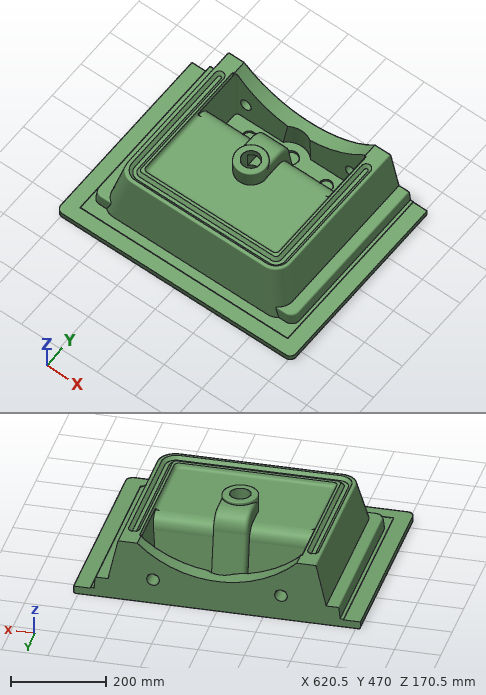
import cadquery as cq
import math


plate_width = 620.5
plate_length = 470.0
plate_thickness = 17.5
plate_corner_radius = 15.5
plate_under_fillet = 5.0
pad_half_width = 273.5
pad_length = 435.0
pad_height = 2.0
pad_top = plate_thickness + pad_height

ledge_half_width = 266.0
ledge_length = 404.5
ledge_top = 46.0
ledge_corner_radius = 20.5
ledge_draft = 6
ledge_edge_fillet = 4.0

rim_height = 141.0
rim_half_width = 214.0
rim_length = 385
wall_draft = 13
body_corner_radius = 40.5
rim_edge_fillet = 4.0

groove_half_width = 12.0
groove_depth = 7.5
groove_draft = 45
groove_inset = 20.5
groove_back = -58.5
groove_corner_radius = body_corner_radius - groove_inset

floor_height = 131.5
floor_half_width = 170.5
floor_front = -340.0
floor_back = -40.5
floor_draft = 30
floor_corner_radius = 12.5
floor_fillet = 9.0
deck_height = 15.0
deck_half_width = 160.0
deck_draft = 6
deck_front = -115.0
deck_back = -43.5
deck_corner_radius = 9.0
slope_radius = 31
slope_start = -159.5

wall_arc_bottom = 72.0
wall_arc_half_chord = 172.5

bolt_hole_radius = 13.5
bolt_hole_x = 138.5
bolt_hole_z = 57.0

tap_depth = 6
center_tap_radius = 18.0
center_tap_y = -65.0
side_tap_radius = 15.5
side_tap_x = 101.0
side_tap_y = -76.5
relief_half_width = 36.0
relief_back = -28.0

drain_y = -203.0
drain_radius = 22.5
boss_radius = 38.5
boss_height = 170.5
boss_edge_fillet = 2.5
hump_half_width = 38.0
hump_top = 164.5
hump_radius = 40.5
hump_foot = -95.0
hump_crest = -155
hump_edge_fillet = 8.0
channel_half_width = 18.5
channel_back = -139.5
channel_floor = 116.5
channel_ceiling = 155


def block(half_width, front, back, bottom, top, draft=0):
    """Block from front to back, centred on X, with walls leaning in by the draft angle."""
    return (
        cq.Workplane("XY", origin=(0, (front + back) / 2, bottom))
        .rect(2 * half_width, back - front)
        .extrude(top - bottom, taper=draft)
    )


def side_profile(outline, half_width):
    return outline.close().extrude(half_width, both=True)


def mounting_plate():
    plate = block(plate_width / 2, -plate_length, 0, 0, plate_thickness)
    plate = plate.edges("|Z and <Y").fillet(plate_corner_radius)
    plate = plate.faces("<Z").edges("not >Y").fillet(plate_under_fillet)
    pad = block(pad_half_width, -pad_length, 0, 0, pad_top)
    return plate.union(pad)


def ledges():
    ledge = block(ledge_half_width, -ledge_length, ledge_length, pad_top, ledge_top, ledge_draft)
    ledge = ledge.edges("not #Z").edges("<Y").fillet(ledge_corner_radius)
    ledge = ledge.faces(">Z").edges().fillet(ledge_edge_fillet)
    return ledge


def body():
    spread = rim_height * math.tan(math.radians(wall_draft))
    front = rim_length + spread
    shell = block(rim_half_width + spread, -front, front, 0, rim_height, wall_draft)
    shell = shell.edges("not #Z").edges("<Y").fillet(body_corner_radius)
    return shell.faces(">Z").edges().fillet(rim_edge_fillet)


def back_half_space():
    return block(plate_width, 0, 2 * plate_length, -6, boss_height)


def rim_groove():
    half_width = rim_half_width - groove_inset
    front = -rim_length + groove_inset
    bend = groove_corner_radius * (1 - math.sqrt(0.5))
    path = (
        cq.Workplane("XY", origin=(0, 0, rim_height))
        .moveTo(-half_width, groove_back)
        .lineTo(-half_width, front + groove_corner_radius)
        .threePointArc((-half_width + bend, front + bend), (-half_width + groove_corner_radius, front))
        .lineTo(half_width - groove_corner_radius, front)
        .threePointArc((half_width - bend, front + bend), (half_width, front + groove_corner_radius))
        .lineTo(half_width, groove_back)
    )
    return path.offset2D(groove_half_width).extrude(-groove_depth, taper=groove_draft)


def pocket(half_width, front, back, bottom, draft):
    """Pocket below the rim with the given bottom rectangle, opening outward by the draft angle."""
    depth = rim_height - bottom
    spread = depth * math.tan(math.radians(draft))
    return (
        cq.Workplane("XY", origin=(0, (front + back) / 2, rim_height))
        .rect(2 * (half_width + spread), back - front + 2 * spread)
        .extrude(-depth, taper=draft)
    )


def bowl_floor():
    floor = pocket(floor_half_width, floor_front, floor_back, floor_height, floor_draft)
    floor = floor.edges("not #Z").edges("<Y").fillet(floor_corner_radius)
    return floor.faces("<Z").edges("not >Y").fillet(floor_fillet)


def deck_pit():
    pit = pocket(deck_half_width, slope_start, deck_back, deck_height, deck_draft)
    pit = pit.edges("not #Z").edges(">Y").fillet(deck_corner_radius)
    bend = slope_radius * math.sqrt(0.5)
    outline = (
        cq.Workplane("YZ")
        .moveTo(slope_start, floor_height)
        .threePointArc(
            (slope_start + bend, floor_height - slope_radius + bend),
            (slope_start + slope_radius, floor_height - slope_radius),
        )
        .lineTo(deck_front, deck_height)
        .lineTo(0, deck_height)
        .lineTo(0, boss_height)
        .lineTo(slope_start, boss_height)
    )
    return pit.intersect(side_profile(outline, plate_width))


def wall_arc():
    sag = rim_height - wall_arc_bottom
    radius = (wall_arc_half_chord**2 + sag**2) / (2 * sag)
    return (
        cq.Workplane("XZ", origin=(0, 0, wall_arc_bottom + radius))
        .circle(radius)
        .extrude(-deck_back)
    )


def bolt_holes():
    return (
        cq.Workplane("XZ")
        .pushPoints([(-bolt_hole_x, bolt_hole_z), (bolt_hole_x, bolt_hole_z)])
        .circle(bolt_hole_radius)
        .extrude(-deck_back + deck_corner_radius)
    )


def tap_relief():
    return (
        cq.Workplane("XY", origin=(0, 0, deck_height))
        .moveTo(-relief_half_width, deck_back)
        .threePointArc((0, relief_back), (relief_half_width, deck_back))
        .close()
        .extrude(rim_height - deck_height)
    )


def tap_holes():
    deck = cq.Workplane("XY", origin=(0, 0, deck_height))
    center = deck.center(0, center_tap_y).circle(center_tap_radius).extrude(-tap_depth)
    sides = deck.pushPoints([(-side_tap_x, side_tap_y), (side_tap_x, side_tap_y)])
    return center.union(sides.circle(side_tap_radius).extrude(-tap_depth))


def drain_boss():
    boss = (
        cq.Workplane("XY", origin=(0, drain_y, deck_height))
        .circle(boss_radius)
        .extrude(boss_height - deck_height)
    )
    return boss.faces(">Z").edges().fillet(boss_edge_fillet)


def overflow_hump():
    bend = hump_radius * math.sqrt(0.5)
    outline = (
        cq.Workplane("YZ")
        .moveTo(hump_foot, deck_height)
        .lineTo(hump_crest + hump_radius, hump_top - hump_radius)
        .threePointArc(
            (hump_crest + bend, hump_top - hump_radius + bend),
            (hump_crest, hump_top),
        )
        .lineTo(drain_y, hump_top)
        .lineTo(drain_y, deck_height)
    )
    hump = side_profile(outline, hump_half_width)
    return hump.faces("<X or >X").edges("not |Z").edges("not <Z").fillet(hump_edge_fillet)


def overflow_channel():
    return block(channel_half_width, drain_y, channel_back, channel_floor, channel_ceiling)


def drain_hole():
    return cq.Workplane("XY", origin=(0, drain_y, 0)).circle(drain_radius).extrude(boss_height)


result = mounting_plate().union(ledges()).union(body()).cut(back_half_space())
result = result.cut(rim_groove()).cut(bowl_floor()).cut(deck_pit()).cut(tap_relief()).cut(wall_arc())
result = result.cut(tap_holes()).cut(bolt_holes())
result = result.union(overflow_hump()).union(drain_boss())
result = result.cut(overflow_channel()).cut(drain_hole())